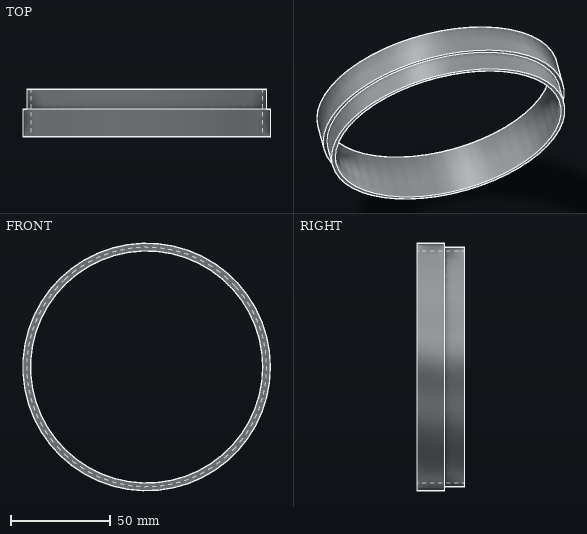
import cadquery as cq

outer_diameter = 125.0
spigot_diameter = 121.0
bore_diameter = 117.0
total_depth = 24.0
band_depth = 14.0


def disc(diameter, depth):
    """Solid disc on the Y axis, running from Y = 0 to Y = depth."""
    return cq.Workplane("XZ").circle(diameter / 2).extrude(-depth)


wide_band = disc(outer_diameter, band_depth)
spigot = disc(spigot_diameter, total_depth)

bore = disc(bore_diameter, total_depth)

result = wide_band.union(spigot).cut(bore)